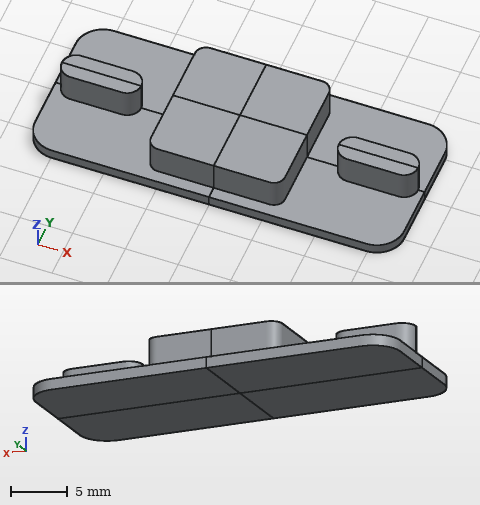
import cadquery as cq

plate_length = 35.0
plate_width = 15.0
plate_thickness = 1.0
plate_corner_radius = 2.6

total_height = 4.0
block_side = 12.7
block_corner_radius = 1.05
tab_length = 7.52
tab_width = 2.65
tab_center_x = 13.12

raised_height = total_height - plate_thickness


def make_plate():
    """Flat base with rounded corners."""
    plate = cq.Workplane("XY").box(plate_length, plate_width, plate_thickness, centered=(True, True, False))
    return plate.edges("|Z").fillet(plate_corner_radius)


def make_block():
    """Square central block with rounded corners, on top of the plate."""
    block = cq.Workplane("XY").workplane(offset=plate_thickness)
    block = block.box(block_side, block_side, raised_height, centered=(True, True, False))
    return block.edges("|Z").fillet(block_corner_radius)


def make_tabs():
    """Round-ended tab on each side of the block."""
    return (
        cq.Workplane("XY")
        .workplane(offset=plate_thickness)
        .pushPoints([(-tab_center_x, 0), (tab_center_x, 0)])
        .slot2D(tab_length, tab_width)
        .extrude(raised_height)
    )


def make_quarter(whole, side_x, side_y):
    """Quarter of the whole shape on the given sides of the X = 0 and Y = 0 planes."""
    quadrant = (
        cq.Workplane("XY")
        .box(plate_length / 2, plate_width / 2, total_height, centered=(True, True, False))
        .translate((side_x * plate_length / 4, side_y * plate_width / 4, 0))
    )
    return whole.intersect(quadrant)


whole_shape = make_plate().union(make_block()).union(make_tabs())

quarters = []
for side_x in (-1, 1):
    for side_y in (-1, 1):
        quarters.extend(make_quarter(whole_shape, side_x, side_y).solids().vals())

result = cq.Compound.makeCompound(quarters)